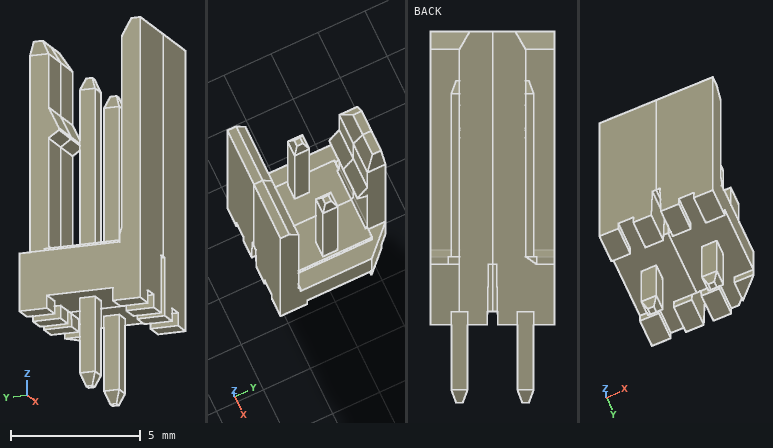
import cadquery as cq
import math


OVERALL_HEIGHT = 14.3

HALF_WIDTH = 2.39
DEPTH = 5.0
BACK = DEPTH / 2
FRONT = -BACK
LEDGE_Z = 2.33
FLOOR_Z = 2.63
FLOOR_HALF_WIDTH = 1.7

CHANNEL_WIDTH = 2.72
CHANNEL_HEIGHT = 0.51
FOOT_DEPTH = (DEPTH - CHANNEL_WIDTH) / 2
SEAM_SLOT_TOP_Z = 2.33
SEAM_SLOT_HALF_BOTTOM = 0.2
SEAM_SLOT_HALF_TOP = 0.16

TOP_Z = 11.3
UPRIGHT_THICKNESS = 0.77
LEAD_IN_DEPTH = 0.4
LEAD_IN_HEIGHT = 0.69
FLARE_DEPTH = 0.09
FLARE_HEIGHT = 0.27
HOOK_REACH = 0.43
HOOK_TOP_Z = 8.45
HOOK_TIP_Z = 7.5
HOOK_BOTTOM_Z = 7.21
HOOK_TIP_HEIGHT = 0.07

PITCH = 2.55
PIN_X = -PITCH / 2
PIN_WIDTH = 0.63
PIN_TOP_Z = 9.4
PIN_BOTTOM_Z = TOP_Z - OVERALL_HEIGHT
PIN_TIP_LENGTH = 0.5
PIN_TIP_WIDTH = 0.26

TONGUE_HALF_WIDTH = PITCH / 2
KEY_CHAMFER = HALF_WIDTH - TONGUE_HALF_WIDTH


def box(x_range, y_range, z_range):
    """Axis-aligned box between the given limits."""
    size = [high - low for low, high in (x_range, y_range, z_range)]
    corner = (x_range[0], y_range[0], z_range[0])
    return cq.Workplane("XY").box(*size, centered=False).translate(corner)


def side_profile(half_width):
    """Sketch plane facing +X, at the outer edge of a left half of the given width."""
    return cq.Workplane("YZ", origin=(-half_width, 0, 0))


def make_block():
    """Base block with the raised floor between the uprights."""
    base = box((-HALF_WIDTH, 0), (FRONT, BACK), (0, LEDGE_Z))
    floor_back = BACK - UPRIGHT_THICKNESS
    floor = box((-FLOOR_HALF_WIDTH, 0), (FRONT, floor_back), (0, FLOOR_Z))
    return base.union(floor)


def make_wall():
    """Tall front wall with a sloped top edge and a flared foot."""
    inner = FRONT + UPRIGHT_THICKNESS
    foot = inner + FLARE_DEPTH
    return (
        side_profile(HALF_WIDTH)
        .moveTo(FRONT, 0)
        .lineTo(foot, 0)
        .lineTo(foot, FLOOR_Z)
        .lineTo(inner, FLOOR_Z + FLARE_HEIGHT)
        .lineTo(inner, TOP_Z - LEAD_IN_HEIGHT)
        .lineTo(inner - LEAD_IN_DEPTH, TOP_Z)
        .lineTo(FRONT, TOP_Z)
        .close()
        .extrude(HALF_WIDTH)
    )


def make_tongue():
    """Latch tongue at the back: hook on its inner face, sloped top, flared foot."""
    inner = BACK - UPRIGHT_THICKNESS
    foot = inner - FLARE_DEPTH
    shoulder_z = TOP_Z - LEAD_IN_HEIGHT
    tongue = (
        side_profile(TONGUE_HALF_WIDTH)
        .moveTo(BACK, 0)
        .lineTo(foot, 0)
        .lineTo(foot, FLOOR_Z)
        .lineTo(inner, FLOOR_Z + FLARE_HEIGHT)
        .lineTo(inner, HOOK_BOTTOM_Z)
        .lineTo(inner - HOOK_REACH, HOOK_TIP_Z)
        .lineTo(inner - HOOK_REACH, HOOK_TIP_Z + HOOK_TIP_HEIGHT)
        .lineTo(inner, HOOK_TOP_Z)
        .lineTo(inner, shoulder_z)
        .lineTo(inner + LEAD_IN_DEPTH, TOP_Z)
        .lineTo(BACK, TOP_Z)
        .close()
        .extrude(TONGUE_HALF_WIDTH)
    )
    side_slope = (
        cq.Workplane("XZ", origin=(0, BACK, 0))
        .moveTo(-TONGUE_HALF_WIDTH, shoulder_z)
        .lineTo(-TONGUE_HALF_WIDTH, TOP_Z)
        .lineTo(-TONGUE_HALF_WIDTH + LEAD_IN_DEPTH, TOP_Z)
        .close()
        .extrude(DEPTH)
    )
    return tongue.cut(side_slope)


def make_gusset():
    """Slope beside the tongue, running down to the ledge."""
    return (
        cq.Workplane("XZ", origin=(0, BACK, 0))
        .moveTo(-FLOOR_HALF_WIDTH, LEDGE_Z)
        .lineTo(-TONGUE_HALF_WIDTH, FLOOR_Z)
        .lineTo(-TONGUE_HALF_WIDTH, LEDGE_Z)
        .close()
        .extrude(UPRIGHT_THICKNESS)
    )


def make_underside_cuts():
    """Standoff channel, pin notches through the feet and the tapered seam slots."""
    channel = box((-HALF_WIDTH, 0), (-CHANNEL_WIDTH / 2, CHANNEL_WIDTH / 2), (0, CHANNEL_HEIGHT))
    notch_x = (PIN_X - PIN_WIDTH / 2, PIN_X + PIN_WIDTH / 2)
    pin_notch = box(notch_x, (FRONT, BACK), (0, CHANNEL_HEIGHT))
    seam_slot = (
        cq.Workplane("XZ", origin=(0, FRONT + FOOT_DEPTH, 0))
        .moveTo(0, 0)
        .lineTo(-SEAM_SLOT_HALF_BOTTOM, 0)
        .lineTo(-SEAM_SLOT_HALF_TOP, SEAM_SLOT_TOP_Z)
        .lineTo(0, SEAM_SLOT_TOP_Z)
        .close()
        .extrude(FOOT_DEPTH)
    )
    return channel.union(pin_notch).union(seam_slot).union(seam_slot.mirror("XZ"))


def make_pin():
    """Square pin, tapered at both ends."""
    shaft_bottom = PIN_BOTTOM_Z + PIN_TIP_LENGTH
    shaft_top = PIN_TOP_Z - PIN_TIP_LENGTH
    pin = (
        cq.Workplane("XY", origin=(PIN_X, 0, shaft_bottom))
        .rect(PIN_WIDTH, PIN_WIDTH)
        .extrude(shaft_top - shaft_bottom)
    )
    taper = math.degrees(math.atan((PIN_WIDTH - PIN_TIP_WIDTH) / 2 / PIN_TIP_LENGTH))
    for face in (">Z", "<Z"):
        pin = pin.faces(face).workplane().rect(PIN_WIDTH, PIN_WIDTH).extrude(PIN_TIP_LENGTH, taper=taper)
    return pin


def make_half():
    """One pin position on the -X side: half of the housing with its pin."""
    half = make_block().union(make_wall()).union(make_tongue())
    return half.cut(make_underside_cuts()).union(make_pin())


def make_left_half():
    """Plain half with the sloped gusset beside its tongue."""
    return make_half().union(make_gusset())


def make_right_half():
    """Mirrored plain half, with its outer back corner cut off as a key."""
    key_corner = (
        cq.Workplane("XY")
        .moveTo(HALF_WIDTH, BACK)
        .lineTo(HALF_WIDTH - KEY_CHAMFER, BACK)
        .lineTo(HALF_WIDTH, BACK - KEY_CHAMFER)
        .close()
        .extrude(TOP_Z)
    )
    return make_half().mirror("YZ").cut(key_corner)


left_half = make_left_half()
right_half = make_right_half()
result = cq.Compound.makeCompound([left_half.val(), right_half.val()])